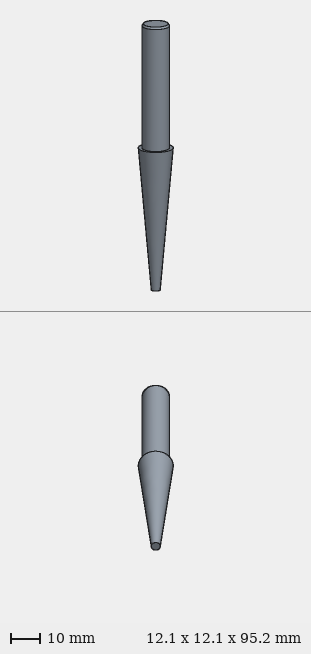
import cadquery as cq

total_length = 95.2
shank_length = 44.4
taper_length = total_length - shank_length

shank_diameter = 9.5
shoulder_diameter = 12.1
tip_diameter = 3.1

end_chamfer_height = 0.8
end_chamfer_inset = 0.5


def make_taper():
    """Conical body, narrow tip at Z = 0 and flat shoulder at its wide end."""
    return (
        cq.Workplane("XY")
        .circle(tip_diameter / 2)
        .workplane(offset=taper_length)
        .circle(shoulder_diameter / 2)
        .loft(ruled=True)
    )


def make_shank():
    """Straight round shank standing on the shoulder, chamfered at its free end."""
    radius = shank_diameter / 2
    half_profile = (
        cq.Workplane("XZ")
        .moveTo(0, taper_length)
        .lineTo(radius, taper_length)
        .lineTo(radius, total_length - end_chamfer_height)
        .lineTo(radius - end_chamfer_inset, total_length)
        .lineTo(0, total_length)
        .close()
    )
    return half_profile.revolve(360, (0, 0, 0), (0, 1, 0))


taper = make_taper()
shank = make_shank()

result = cq.Compound.makeCompound([taper.val(), shank.val()])